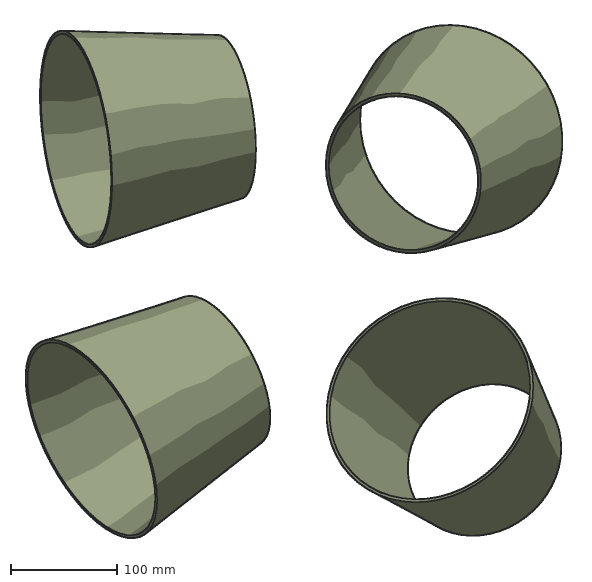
import cadquery as cq

large_outer_diameter = 206.0
small_outer_diameter = 156.0
wall_thickness = 3.0
length = 152.0

large_outer_radius = large_outer_diameter / 2
small_outer_radius = small_outer_diameter / 2
large_inner_radius = large_outer_radius - wall_thickness
small_inner_radius = small_outer_radius - wall_thickness

wall_section = (
    cq.Workplane("XY")
    .moveTo(large_inner_radius, 0)
    .lineTo(large_outer_radius, 0)
    .lineTo(small_outer_radius, length)
    .lineTo(small_inner_radius, length)
    .close()
)

result = wall_section.revolve(360, (0, 0, 0), (0, 1, 0))